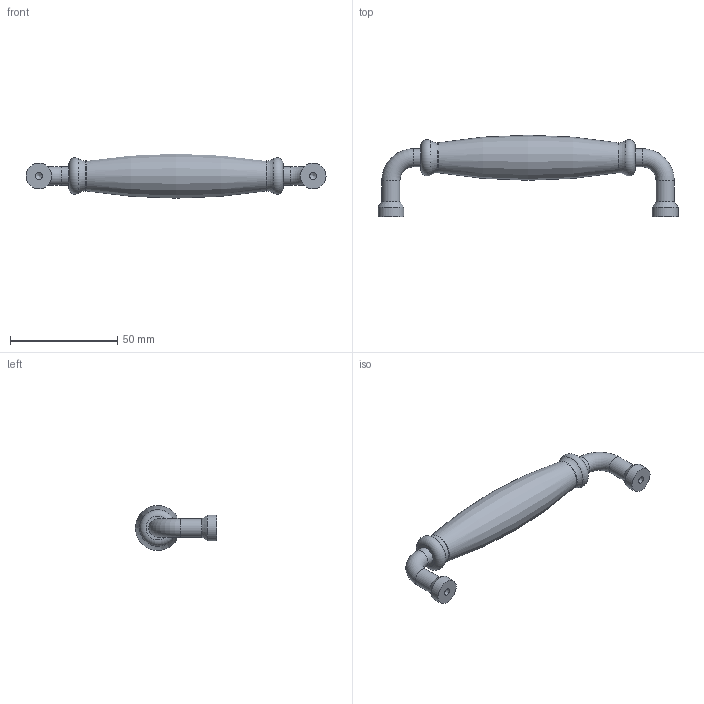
import cadquery as cq
import math

HOLE_SPACING = 128.0
GRIP_AXIS_Y = 27.5

FOOT_RADIUS = 6.0
FOOT_HEIGHT = 4.5
FOOT_CONE_HEIGHT = 2.5
ROD_RADIUS = 4.25
BEND_RADIUS = 10.7

SCREW_HOLE_RADIUS = 1.65
SCREW_HOLE_DEPTH = 12.0
DRILL_TIP_ANGLE = 118.0

GRIP_HALF_LENGTH = 42.0
GRIP_MID_RADIUS = 10.5
GRIP_END_RADIUS = 7.0

COLLAR_OUTER_X = 50.0
COLLAR_RADIUS = 8.5
COLLAR_ROUND_RADIUS = 3.0
COLLAR_SHOULDER_X = 45.3
NECK_END_X = 42.3

FOOT_X = HOLE_SPACING / 2
CONE_TOP_Y = FOOT_HEIGHT + FOOT_CONE_HEIGHT
BEND_START_Y = GRIP_AXIS_Y - BEND_RADIUS
BEND_END_X = FOOT_X - BEND_RADIUS


def make_grip():
    """Barrel-shaped grip with a rounded collar at each end, revolved about its axis."""
    round_x = COLLAR_OUTER_X - COLLAR_ROUND_RADIUS
    round_r = COLLAR_RADIUS - COLLAR_ROUND_RADIUS

    shoulder_angle = math.asin((round_x - COLLAR_SHOULDER_X) / COLLAR_ROUND_RADIUS)
    shoulder_r = round_r + COLLAR_ROUND_RADIUS * math.cos(shoulder_angle)
    neck_curve = (COLLAR_SHOULDER_X - NECK_END_X) / math.sin(shoulder_angle)
    neck_r = shoulder_r - neck_curve * (1 - math.cos(shoulder_angle))

    def round_point(angle):
        x = round_x - COLLAR_ROUND_RADIUS * math.sin(angle)
        r = round_r + COLLAR_ROUND_RADIUS * math.cos(angle)
        return x, r

    def neck_point(angle):
        x = NECK_END_X + neck_curve * math.sin(angle)
        r = neck_r + neck_curve * (1 - math.cos(angle))
        return x, r

    def mirrored(point):
        return -point[0], point[1]

    round_start = (COLLAR_OUTER_X, round_r)
    round_mid = round_point((shoulder_angle - math.pi / 2) / 2)
    shoulder = (COLLAR_SHOULDER_X, shoulder_r)
    neck_mid = neck_point(shoulder_angle / 2)
    neck_end = (NECK_END_X, neck_r)
    grip_end = (GRIP_HALF_LENGTH, GRIP_END_RADIUS)

    profile = (
        cq.Workplane("XY")
        .moveTo(COLLAR_OUTER_X, 0)
        .lineTo(*round_start)
        .threePointArc(round_mid, shoulder)
        .threePointArc(neck_mid, neck_end)
        .lineTo(*grip_end)
        .threePointArc((0, GRIP_MID_RADIUS), mirrored(grip_end))
        .lineTo(*mirrored(neck_end))
        .threePointArc(mirrored(neck_mid), mirrored(shoulder))
        .threePointArc(mirrored(round_mid), mirrored(round_start))
        .lineTo(-COLLAR_OUTER_X, 0)
        .close()
    )
    grip = profile.revolve(360, (0, 0, 0), (1, 0, 0))
    return grip.translate((0, GRIP_AXIS_Y, 0))


def make_bent_rod():
    """Round rod rising from the +X foot and bending into the end of the grip."""
    diagonal = BEND_RADIUS * math.sqrt(0.5)
    bend_mid = (BEND_END_X + diagonal, BEND_START_Y + diagonal)
    path = (
        cq.Workplane("XY")
        .moveTo(FOOT_X, CONE_TOP_Y)
        .lineTo(FOOT_X, BEND_START_Y)
        .threePointArc(bend_mid, (BEND_END_X, GRIP_AXIS_Y))
        .lineTo(GRIP_HALF_LENGTH, GRIP_AXIS_Y)
    )
    section = cq.Workplane("XZ", origin=(FOOT_X, CONE_TOP_Y, 0)).circle(ROD_RADIUS)
    return section.sweep(path)


def revolve_about_foot_axis(points):
    """Solid of revolution about the +X foot axis from (radius, Y) outline points."""
    outline = cq.Workplane("XY").polyline(points).close()
    return outline.revolve(360, (0, 0, 0), (0, 1, 0)).translate((FOOT_X, 0, 0))


def make_foot():
    """Cylindrical foot with a cone narrowing to the rod."""
    return revolve_about_foot_axis([
        (0, 0),
        (FOOT_RADIUS, 0),
        (FOOT_RADIUS, FOOT_HEIGHT),
        (ROD_RADIUS, CONE_TOP_Y),
        (0, CONE_TOP_Y),
    ])


def make_screw_hole():
    """Blind drilled hole with a conical bottom, entering through the foot."""
    tip_height = SCREW_HOLE_RADIUS / math.tan(math.radians(DRILL_TIP_ANGLE / 2))
    return revolve_about_foot_axis([
        (0, 0),
        (SCREW_HOLE_RADIUS, 0),
        (SCREW_HOLE_RADIUS, SCREW_HOLE_DEPTH),
        (0, SCREW_HOLE_DEPTH + tip_height),
    ])


leg = make_bent_rod().union(make_foot()).cut(make_screw_hole())
result = make_grip().union(leg).union(leg.mirror("YZ"))